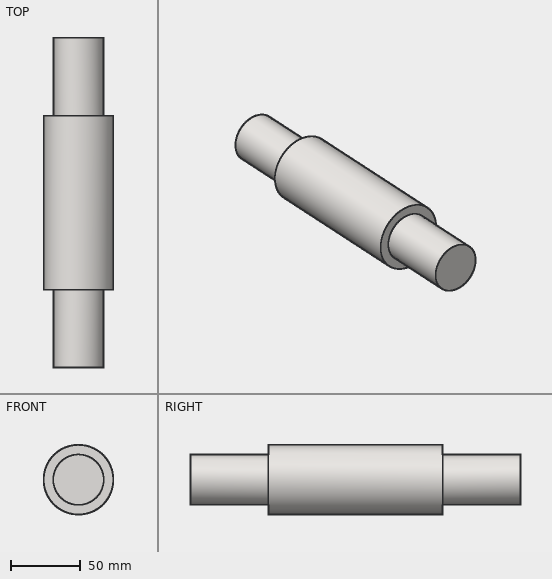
import cadquery as cq

total_length = 236.0
body_length = 124.5
body_diameter = 50.0
journal_diameter = 36.0


def cylinder_along_y(diameter, length):
    """Cylinder on the Y axis, centred on the origin."""
    start_face = cq.Workplane("XZ", origin=(0, length / 2, 0))
    return start_face.circle(diameter / 2).extrude(length)


journal = cylinder_along_y(journal_diameter, total_length)
body = cylinder_along_y(body_diameter, body_length)

result = body.union(journal)